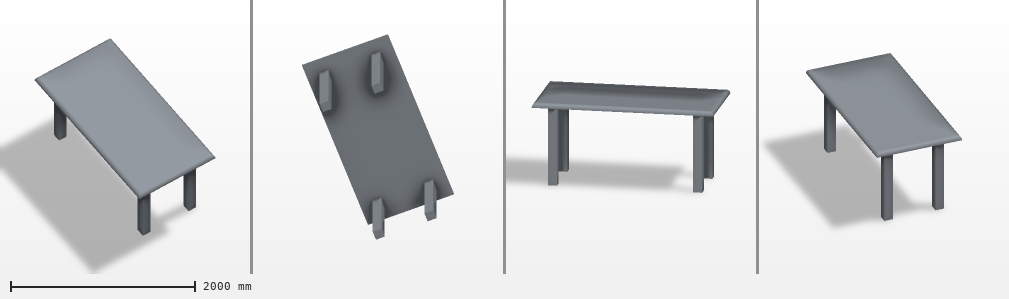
import cadquery as cq

length = 2000.0
width = 1000.0
height = 950.0

top_thickness = 50.0
rim_height = 5.0
edge_radius = top_thickness - rim_height

leg_side = 100.0
leg_inset = 150.0
leg_height = height - top_thickness

table_top = (
    cq.Workplane("XY")
    .workplane(offset=leg_height)
    .rect(length, width)
    .extrude(top_thickness)
    .faces(">Z")
    .edges()
    .fillet(edge_radius)
)

leg_spacing_x = length - 2 * leg_inset - leg_side
leg_spacing_y = width - 2 * leg_inset - leg_side
legs = (
    cq.Workplane("XY")
    .rect(leg_spacing_x, leg_spacing_y, forConstruction=True)
    .vertices()
    .rect(leg_side, leg_side)
    .extrude(leg_height)
)

result = table_top.union(legs)